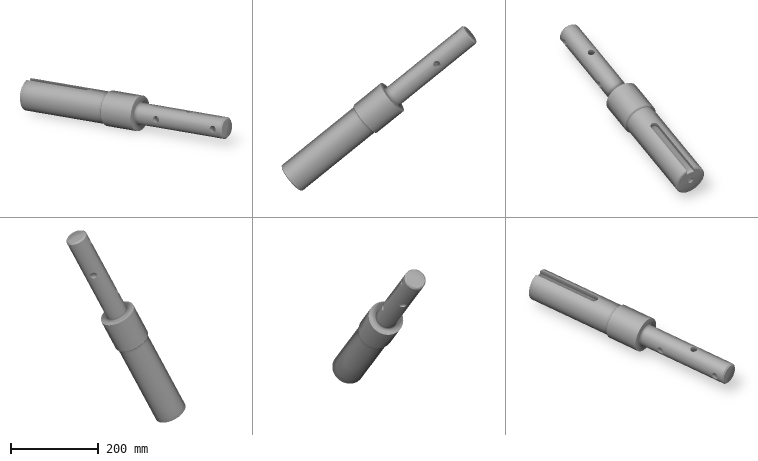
import cadquery as cq

total_length = 535.5
keyed_diameter = 75.0
collar_diameter = 82.5
stem_diameter = 50.5
collar_start = 219.5
collar_end = 302.0

keyed_chamfer_length = 2.0
keyed_chamfer_depth = 3.0
collar_chamfer = 2.0
stem_chamfer = 3.0
stem_fillet = 3.0

key_width = 18.0
key_end = 167.0
key_floor = 26.0

hole_diameter = 16.0
side_hole_positions = (360.5, 512.5)
vertical_hole_position = 436.0
bore_diameter = 15.5


def shaft_body():
    """Revolve the half profile of the shaft about X."""
    keyed_radius = keyed_diameter / 2
    collar_radius = collar_diameter / 2
    stem_radius = stem_diameter / 2
    profile = (
        cq.Workplane("XY")
        .moveTo(0, 0)
        .lineTo(0, keyed_radius - keyed_chamfer_depth)
        .lineTo(keyed_chamfer_length, keyed_radius)
        .lineTo(collar_start, keyed_radius)
        .lineTo(collar_start, collar_radius - collar_chamfer)
        .lineTo(collar_start + collar_chamfer, collar_radius)
        .lineTo(collar_end, collar_radius)
        .lineTo(collar_end, stem_radius + stem_fillet)
        .radiusArc((collar_end + stem_fillet, stem_radius), -stem_fillet)
        .lineTo(total_length - stem_chamfer, stem_radius)
        .lineTo(total_length, stem_radius - stem_chamfer)
        .lineTo(total_length, 0)
        .close()
    )
    return profile.revolve(360, (0, 0, 0), (1, 0, 0))


def keyway():
    """Cutter for the keyway in the top of the keyed end."""
    half_width = key_width / 2
    straight_end = key_end - half_width
    return (
        cq.Workplane("XY", origin=(0, 0, key_floor))
        .moveTo(0, -half_width)
        .lineTo(straight_end, -half_width)
        .threePointArc((key_end, 0), (straight_end, half_width))
        .lineTo(0, half_width)
        .close()
        .extrude(keyed_diameter / 2)
    )


def cross_hole(plane, position):
    """Cutter for a hole across the stem, normal to the given plane."""
    return (
        cq.Workplane(plane)
        .center(position, 0)
        .circle(hole_diameter / 2)
        .extrude(stem_diameter, both=True)
    )


def axial_bore():
    """Cutter from the keyed end to the middle of the vertical hole."""
    return cq.Workplane("YZ").circle(bore_diameter / 2).extrude(vertical_hole_position)


result = shaft_body().cut(keyway()).cut(axial_bore())
for side_position in side_hole_positions:
    result = result.cut(cross_hole("XZ", side_position))
result = result.cut(cross_hole("XY", vertical_hole_position))